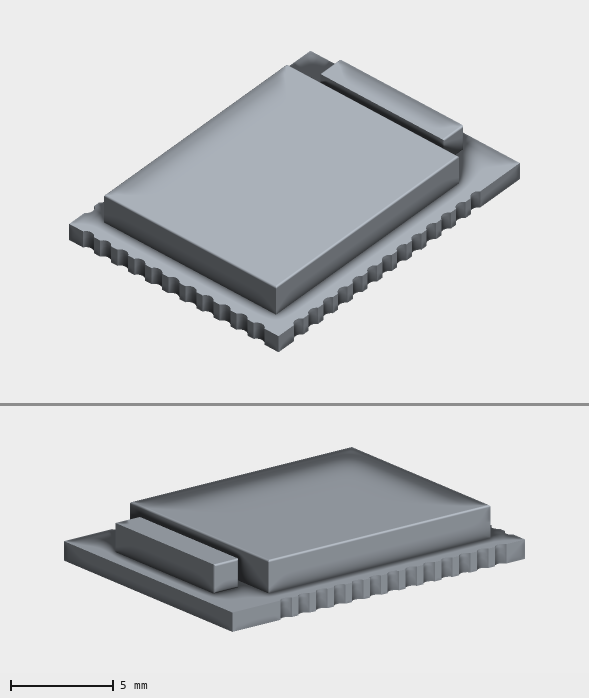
import cadquery as cq
import math

board_width = 13.5
board_length = 18.0
board_thickness = 1.0

pad_size = 0.7
pad_thickness = 0.4
pad_pitch = 1.1
notch_radius = 0.4
side_pad_count = 13
side_pad_front_offset = 1.5
front_pad_count = 11

shield_side_margin = 1.2
shield_front_margin = 1.2
shield_back_margin = 3.15
shield_height = 1.7
shield_edge_radius = 0.1

antenna_width = 1.5
antenna_height = 1.5
antenna_back_margin = 1.0
antenna_cap_length = 0.7
antenna_feed_length = 2.0
antenna_body_length = 4.6
antenna_end_radius = 0.1

notch_depth = notch_radius - math.sqrt(notch_radius**2 - (pad_size / 2) ** 2)
half_width = board_width / 2
half_length = board_length / 2


def pad_locations():
    """Return (x, y, angle) of each pad on the board edge; angle turns a front pad onto its edge."""
    front_span = (front_pad_count - 1) * pad_pitch
    places = []
    for i in range(front_pad_count):
        places.append((i * pad_pitch - front_span / 2, -half_length, 0))
    for i in range(side_pad_count):
        y = -half_length + side_pad_front_offset + i * pad_pitch
        places.append((half_width, y, 90))
        places.append((-half_width, y, -90))
    return places


def place_on_edges(shape):
    """Copy a shape, modelled on a front edge at the origin, to every pad location."""
    copies = cq.Workplane("XY")
    for x, y, angle in pad_locations():
        turned = shape.rotate((0, 0, 0), (0, 0, 1), angle)
        copies = copies.add(turned.translate((x, y, 0)))
    return copies.combine(clean=False)


def make_notch():
    """Shallow round notch through the full board thickness."""
    return (
        cq.Workplane("XY")
        .moveTo(-pad_size / 2, 0)
        .threePointArc((0, notch_depth), (pad_size / 2, 0))
        .close()
        .extrude(board_thickness)
    )


def make_pad():
    """Square pad flush with the top of the board, with the notch taken out of its outer edge."""
    underside_z = board_thickness - pad_thickness
    block = cq.Workplane("XY", origin=(0, 0, underside_z)).box(
        pad_size, pad_size, pad_thickness, centered=(True, False, False)
    )
    return block.cut(make_notch())


def make_board():
    """Board with its notches and the inlaid pads, whose outlines stay as face boundaries."""
    blank = cq.Workplane("XY").box(board_width, board_length, board_thickness, centered=(True, True, False))
    pads = place_on_edges(make_pad())
    notched = blank.cut(place_on_edges(make_notch()))
    return notched.cut(pads).union(pads, clean=False)


def make_shield():
    """Shield can with a rounded top rim."""
    width = board_width - 2 * shield_side_margin
    length = board_length - shield_front_margin - shield_back_margin
    centre_y = (shield_front_margin - shield_back_margin) / 2
    return (
        cq.Workplane("XY", origin=(0, centre_y, board_thickness))
        .box(width, length, shield_height, centered=(True, True, False))
        .faces(">Z")
        .fillet(shield_edge_radius)
    )


def make_antenna():
    """Chip antenna with rounded ends; segment joints stay as face boundaries."""
    segment_lengths = [antenna_cap_length, antenna_feed_length, antenna_body_length, antenna_cap_length]
    antenna_length = sum(segment_lengths)
    centre_y = half_length - antenna_back_margin - antenna_width / 2
    envelope = (
        cq.Workplane("XY", origin=(0, centre_y, board_thickness))
        .box(antenna_length, antenna_width, antenna_height, centered=(True, True, False))
        .faces("<X or >X")
        .fillet(antenna_end_radius)
    )
    antenna = None
    start_x = -antenna_length / 2
    for length in segment_lengths:
        slab = cq.Workplane("XY", origin=(start_x, centre_y, board_thickness)).box(
            length, antenna_width, antenna_height, centered=(False, True, False)
        )
        segment = envelope.intersect(slab)
        antenna = segment if antenna is None else antenna.union(segment, clean=False)
        start_x += length
    return antenna


result = make_board().union(make_shield(), clean=False).union(make_antenna(), clean=False)